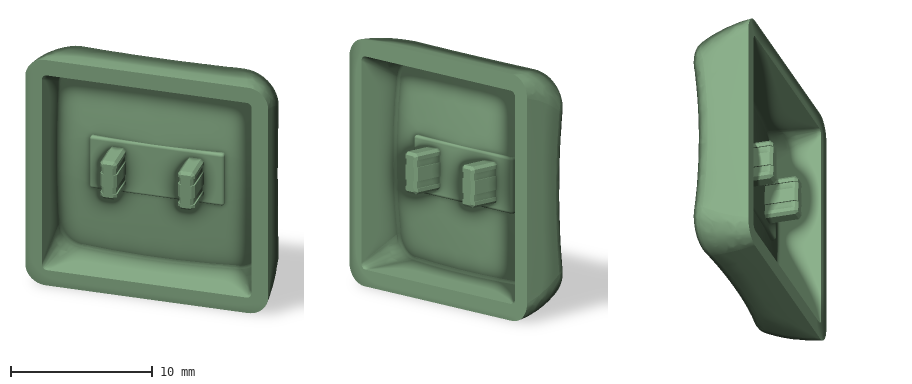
import cadquery as cq
import math

RIM_HEIGHT = 0.0
RIM_WIDTH = 17.9
RIM_CORNER_RADIUS = 1.5
MID_HEIGHT = 2.4
MID_WIDTH_X = 17.6
MID_WIDTH_Z = 17.5
MID_CORNER_RADIUS = 2.2
BLANK_HEIGHT = 5.2
BLANK_WIDTH_X = 16.75
BLANK_WIDTH_Z = 15.75
BLANK_CORNER_RADIUS = 3.3

DISH_RADIUS = 45.0
DISH_BOTTOM = 3.41
TOP_EDGE_FILLET = 1.1

ROOF_THICKNESS = 0.93
CAVITY_RIM_WIDTH = 15.47
CAVITY_RIM_RADIUS = 0.4
CAVITY_BLANK_WIDTH_X = 14.6
CAVITY_BLANK_WIDTH_Z = 14.1
CAVITY_BLANK_RADIUS = 2.3
CAVITY_EDGE_FILLET = 0.18

PAD_LENGTH = 9.9
PAD_WIDTH = 4.1
PAD_FACE_HEIGHT = 2.4
PAD_FILLET = 0.2

EMBED_HEIGHT = DISH_BOTTOM - ROOF_THICKNESS / 2

STEM_SPACING = 5.72
STEM_THICKNESS = 1.25
STEM_WIDTH = 3.0
STEM_TIP_HEIGHT = RIM_HEIGHT
STEM_CHAMFER = 0.2
GROOVE_DEPTH = 0.1
GROOVE_INNER_Z = 0.5
GROOVE_OUTER_Z = 1.03

BUMP_Z = -5.5
BUMP_BALL_RADIUS = 1.0
BUMP_RISE = 0.55


def section_wire(height, width_x, width_z, corner_radius):
    """Rounded rectangle in the plane Y = height."""
    prism = cq.Workplane("XZ", origin=(0, height, 0)).rect(width_x, width_z).extrude(-1)
    return prism.edges("|Y").fillet(corner_radius).faces("<Y").wires().val()


def loft_sections(sections):
    """Smooth solid through a list of rounded rectangles."""
    wires = [section_wire(*section) for section in sections]
    return cq.Workplane(cq.Solid.makeLoft(wires))


def dish_ball(offset):
    """Ball that shapes the dish, grown by an offset."""
    return cq.Workplane().sphere(DISH_RADIUS + offset).translate((0, DISH_BOTTOM + DISH_RADIUS, 0))


def block(length_x, width_z, bottom, top):
    """Box centred on X and Z that spans Y = bottom to top."""
    return cq.Workplane("XZ", origin=(0, bottom, 0)).rect(length_x, width_z).extrude(bottom - top)


def make_cap():
    """Solid outer form with the dish cut in and its edge rounded."""
    sections = [
        (RIM_HEIGHT, RIM_WIDTH, RIM_WIDTH, RIM_CORNER_RADIUS),
        (MID_HEIGHT, MID_WIDTH_X, MID_WIDTH_Z, MID_CORNER_RADIUS),
        (BLANK_HEIGHT, BLANK_WIDTH_X, BLANK_WIDTH_Z, BLANK_CORNER_RADIUS),
    ]
    cap = loft_sections(sections).cut(dish_ball(0))
    return cap.faces(">Y").edges().fillet(TOP_EDGE_FILLET)


def make_cavity():
    """Space inside the cap, bounded by the curved roof and rounded along the roof edge."""
    sections = [
        (RIM_HEIGHT, CAVITY_RIM_WIDTH, CAVITY_RIM_WIDTH, CAVITY_RIM_RADIUS),
        (BLANK_HEIGHT, CAVITY_BLANK_WIDTH_X, CAVITY_BLANK_WIDTH_Z, CAVITY_BLANK_RADIUS),
    ]
    cavity = loft_sections(sections).cut(dish_ball(ROOF_THICKNESS))
    return cavity.faces(">Y").edges().fillet(CAVITY_EDGE_FILLET)


def make_pad():
    """Flat pad with rounded edges, its upper part buried in the roof."""
    pad = block(PAD_LENGTH, PAD_WIDTH, PAD_FACE_HEIGHT, EMBED_HEIGHT)
    return pad.edges("|Y or <Y").fillet(PAD_FILLET)


def make_stem():
    """Stem centred on X = 0, with two shallow grooves along each broad side."""
    stem = block(STEM_THICKNESS, STEM_WIDTH, STEM_TIP_HEIGHT, EMBED_HEIGHT)
    stem = stem.edges("|Y").chamfer(STEM_CHAMFER).faces("<Y").edges().chamfer(STEM_CHAMFER)
    groove_band = block(STEM_THICKNESS, GROOVE_OUTER_Z - GROOVE_INNER_Z, STEM_TIP_HEIGHT, EMBED_HEIGHT)
    groove_z = (GROOVE_OUTER_Z + GROOVE_INNER_Z) / 2
    for z in (-groove_z, groove_z):
        stem = stem.cut(groove_band.translate((0, 0, z)))
    core = block(STEM_THICKNESS - 2 * GROOVE_DEPTH, 2 * GROOVE_OUTER_Z, STEM_TIP_HEIGHT, EMBED_HEIGHT)
    core = core.faces("<Y").edges("|Z").chamfer(STEM_CHAMFER)
    return stem.union(core)


def make_bump():
    """Ball whose upper part stands proud of the dish by BUMP_RISE."""
    dish_height = DISH_BOTTOM + DISH_RADIUS - math.sqrt(DISH_RADIUS**2 - BUMP_Z**2)
    ball_height = dish_height + BUMP_RISE - BUMP_BALL_RADIUS
    return cq.Workplane().sphere(BUMP_BALL_RADIUS).translate((0, ball_height, BUMP_Z))


result = make_cap().union(make_bump()).cut(make_cavity()).union(make_pad())
for side in (-1, 1):
    result = result.union(make_stem().translate((side * STEM_SPACING / 2, 0, 0)))